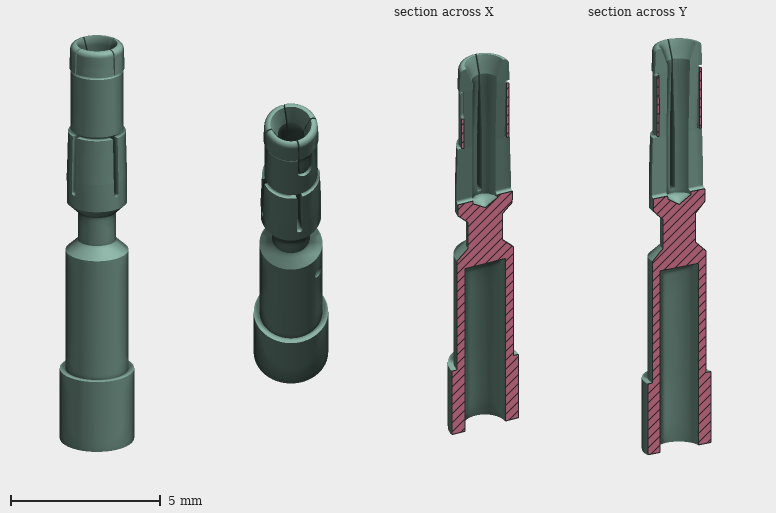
import cadquery as cq
import math

total_height = 14.25
ferrule_top = 2.52
barrel_top = 6.81
neck_bottom = 7.2
neck_top = 8.21
collar_bottom = 8.56
bend_height = 9.55
collar_top = 11.12
head_bottom = 13.4

ferrule_diameter = 2.5
ferrule_radius = ferrule_diameter / 2
barrel_radius = 1.05
neck_radius = 0.64
collar_radius = 1.01
collar_top_radius = 0.97
head_radius = 0.93
head_tip_radius = 0.9
tip_rounding = 0.19

funnel_radius = 0.68
socket_radius = 0.44
funnel_depth = 0.61
funnel_bottom = total_height - funnel_depth
socket_bottom = 8.9
drill_tip_half_angle = 59.0

slot_bottom = 9.02
slot_width = 0.2
slot_tip_width = 0.05

sleeve_diameter = 1.78
sleeve_radius = sleeve_diameter / 2
sleeve_wall = 0.11
sleeve_inner_radius = sleeve_radius - sleeve_wall
sleeve_gap = 0.05
sleeve_bottom = collar_top + sleeve_gap
sleeve_top = head_bottom - sleeve_gap
sleeve_chamfer = 0.04
window_bottom = 12.23
window_width = 0.6
window_angle = 107.0

wire_bore_radius = 0.74
wire_bore_depth = 6.41
inspection_radius = 0.23
inspection_height = 5.8
inspection_angle = 135.0


def make_body():
    """Turned outer shape, from the wire end up to the rounded tip."""
    rounding_mid = tip_rounding * (1 - math.sqrt(0.5))
    return (
        cq.Workplane("XZ")
        .lineTo(ferrule_radius, 0)
        .lineTo(ferrule_radius, ferrule_top)
        .lineTo(barrel_radius, ferrule_top)
        .lineTo(barrel_radius, barrel_top)
        .lineTo(neck_radius, neck_bottom)
        .lineTo(neck_radius, neck_top)
        .lineTo(collar_radius, collar_bottom)
        .lineTo(collar_radius, bend_height)
        .lineTo(collar_top_radius, collar_top)
        .lineTo(sleeve_inner_radius, collar_top)
        .lineTo(sleeve_inner_radius, head_bottom)
        .lineTo(head_radius, head_bottom)
        .lineTo(head_tip_radius, total_height - tip_rounding)
        .threePointArc(
            (head_tip_radius - rounding_mid, total_height - rounding_mid),
            (head_tip_radius - tip_rounding, total_height),
        )
        .lineTo(0, total_height)
        .close()
        .revolve(360, (0, 0, 0), (0, 1, 0))
    )


def make_socket():
    """Funnel, straight bore and drill tip, as a solid to cut away."""
    drill_tip_depth = socket_radius / math.tan(math.radians(drill_tip_half_angle))
    return (
        cq.Workplane("XZ")
        .moveTo(0, socket_bottom - drill_tip_depth)
        .lineTo(socket_radius, socket_bottom)
        .lineTo(socket_radius, funnel_bottom)
        .lineTo(funnel_radius, total_height)
        .lineTo(0, total_height)
        .close()
        .revolve(360, (0, 0, 0), (0, 1, 0))
    )


def make_slot(angle):
    """Round-ended slot through the axis, narrowing above the collar."""
    half_width = slot_width / 2
    half_tip = slot_tip_width / 2
    return (
        cq.Workplane("XZ")
        .moveTo(-half_width, slot_bottom + half_width)
        .threePointArc((0, slot_bottom), (half_width, slot_bottom + half_width))
        .lineTo(half_width, collar_top)
        .lineTo(half_tip, head_bottom)
        .lineTo(half_tip, total_height)
        .lineTo(-half_tip, total_height)
        .lineTo(-half_tip, head_bottom)
        .lineTo(-half_width, collar_top)
        .close()
        .extrude(ferrule_radius, both=True)
        .rotate((0, 0, 0), (0, 0, 1), angle)
    )


def make_sleeve():
    """Tube with chamfered outer ends and a round-ended window open at the top."""
    sleeve = (
        cq.Workplane("XY")
        .workplane(offset=sleeve_bottom)
        .circle(sleeve_radius)
        .extrude(sleeve_top - sleeve_bottom)
        .edges("%CIRCLE")
        .chamfer(sleeve_chamfer)
    )
    bore = (
        cq.Workplane("XY")
        .workplane(offset=sleeve_bottom)
        .circle(sleeve_inner_radius)
        .extrude(sleeve_top - sleeve_bottom)
    )
    half_width = window_width / 2
    window = (
        cq.Workplane("YZ")
        .moveTo(-half_width, window_bottom + half_width)
        .threePointArc((0, window_bottom), (half_width, window_bottom + half_width))
        .lineTo(half_width, sleeve_top)
        .lineTo(-half_width, sleeve_top)
        .close()
        .extrude(sleeve_radius)
        .rotate((0, 0, 0), (0, 0, 1), window_angle)
    )
    return sleeve.cut(bore).cut(window)


def make_inspection_hole():
    """Radial hole through one wall of the barrel into the wire bore."""
    return (
        cq.Workplane("YZ")
        .center(0, inspection_height)
        .circle(inspection_radius)
        .extrude(ferrule_radius)
        .rotate((0, 0, 0), (0, 0, 1), inspection_angle)
    )


wire_bore = cq.Workplane("XY").circle(wire_bore_radius).extrude(wire_bore_depth)

result = make_body().cut(make_socket())
for slot_angle in (0, 90):
    result = result.cut(make_slot(slot_angle))
result = result.union(make_sleeve())
result = result.cut(wire_bore).cut(make_inspection_hole())